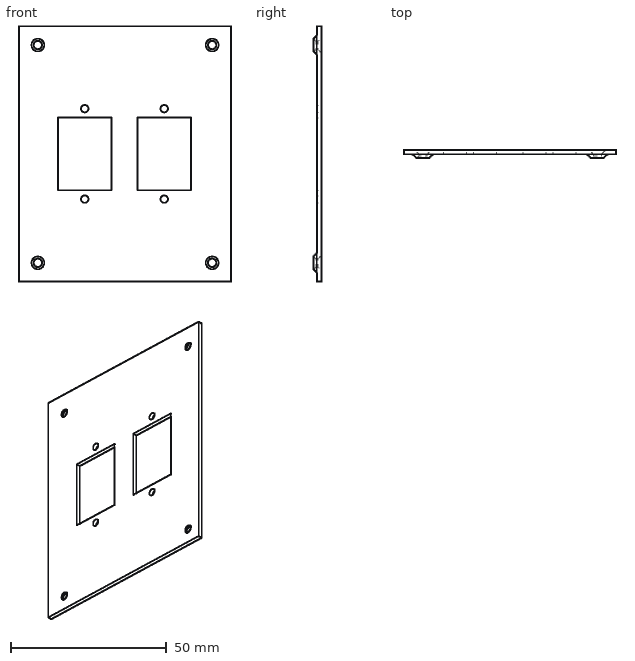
import cadquery as cq
import math

width = 68.1
height = 82.0
thickness = 1.5

collar_height = 1.15
collar_inset = 6.1
collar_tip_radius = 2.05
collar_bend_radius = 0.9
collar_slope = math.radians(45)
screw_hole_radius = 1.3

opening_width = 17.1
opening_height = 23.3
opening_spacing = 25.5
opening_shift = -0.2
connector_hole_diameter = 2.3
connector_hole_spacing = 29.05


def make_plate():
    return cq.Workplane("XY").box(width, thickness, height, centered=(True, False, True))


def make_flared_cone(corner_radius, plane_y, bend_radius, tip_radius, closing_y):
    """Cone narrowing towards -Y, blended through an arc into the plane at plane_y, revolved about Y.

    corner_radius is where the straight flank would meet that plane without the arc.
    The solid continues along its largest radius up to closing_y.
    """
    tangent_length = bend_radius * math.tan(collar_slope / 2)
    bend_end = corner_radius + tangent_length
    flank_start = (
        corner_radius - tangent_length * math.cos(collar_slope),
        plane_y - tangent_length * math.sin(collar_slope),
    )
    bend_middle = (
        bend_end - bend_radius * math.sin(collar_slope / 2),
        plane_y - bend_radius * (1 - math.cos(collar_slope / 2)),
    )
    tip_y = plane_y - (corner_radius - tip_radius) * math.tan(collar_slope)
    return (
        cq.Workplane("XY")
        .moveTo(0, tip_y)
        .lineTo(tip_radius, tip_y)
        .lineTo(*flank_start)
        .threePointArc(bend_middle, (bend_end, plane_y))
        .lineTo(bend_end, closing_y)
        .lineTo(0, closing_y)
        .close()
        .revolve(360, (0, 0), (0, 1))
    )


def make_collar():
    corner_radius = collar_tip_radius + collar_height / math.tan(collar_slope)
    return make_flared_cone(corner_radius, 0, collar_bend_radius, collar_tip_radius, thickness / 2)


def make_collar_bore():
    """Through hole, countersunk square to the flank at the tip, and the dimple behind the collar.

    The dimple runs parallel to the collar's flank, one plate thickness away from it.
    """
    throat_y = (collar_tip_radius - screw_hole_radius) * math.tan(collar_slope) - collar_height
    hole = (
        cq.Workplane("XY")
        .moveTo(0, -collar_height)
        .lineTo(collar_tip_radius, -collar_height)
        .lineTo(screw_hole_radius, throat_y)
        .lineTo(screw_hole_radius, thickness)
        .lineTo(0, thickness)
        .close()
        .revolve(360, (0, 0), (0, 1))
    )
    front_corner_radius = collar_tip_radius + collar_height / math.tan(collar_slope)
    dimple = make_flared_cone(
        corner_radius=front_corner_radius - thickness * math.tan(collar_slope / 2),
        plane_y=thickness,
        bend_radius=collar_bend_radius + thickness,
        tip_radius=screw_hole_radius,
        closing_y=2 * thickness,
    )
    return hole.union(dimple)


def make_connector_cutout():
    opening = cq.Workplane("XZ").rect(opening_width, opening_height).extrude(-thickness)
    holes = (
        cq.Workplane("XZ")
        .pushPoints([(0, -connector_hole_spacing / 2), (0, connector_hole_spacing / 2)])
        .circle(connector_hole_diameter / 2)
        .extrude(-thickness)
    )
    return opening.union(holes)


result = make_plate()

collar = make_collar()
collar_bore = make_collar_bore()
for side_x in (-1, 1):
    for side_z in (-1, 1):
        place = (side_x * (width / 2 - collar_inset), 0, side_z * (height / 2 - collar_inset))
        result = result.union(collar.translate(place)).cut(collar_bore.translate(place))

connector_cutout = make_connector_cutout()
for side_x in (-1, 1):
    place = (opening_shift + side_x * opening_spacing / 2, 0, 0)
    result = result.cut(connector_cutout.translate(place))